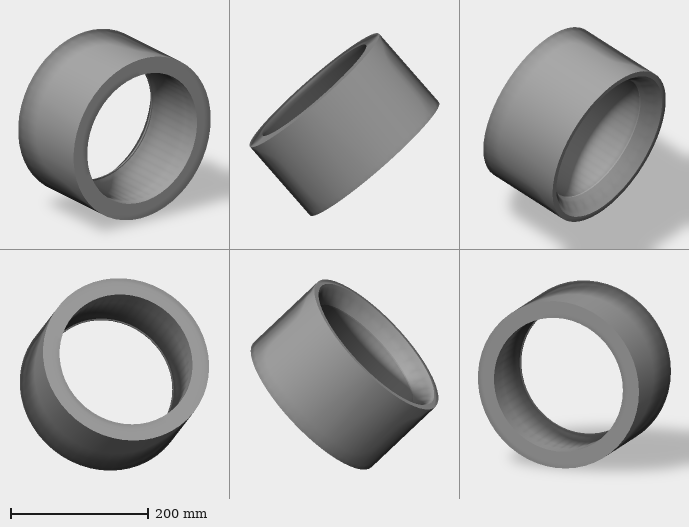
import cadquery as cq

length = 134.0
outer_diameter = 250
mouth_diameter = 233.2
throat_diameter = 196.0
bore_diameter = 200
taper_depth = 25
throat_length = 2.0

tapered_end = -length / 2
plain_end = length / 2
throat_start = tapered_end + taper_depth
throat_end = throat_start + throat_length

half_section = (
    cq.Workplane("XY")
    .moveTo(tapered_end, outer_diameter / 2)
    .lineTo(tapered_end, mouth_diameter / 2)
    .lineTo(throat_start, throat_diameter / 2)
    .lineTo(throat_end, throat_diameter / 2)
    .lineTo(throat_end, bore_diameter / 2)
    .lineTo(plain_end, bore_diameter / 2)
    .lineTo(plain_end, outer_diameter / 2)
    .close()
)

result = half_section.revolve(360, (0, 0, 0), (1, 0, 0))